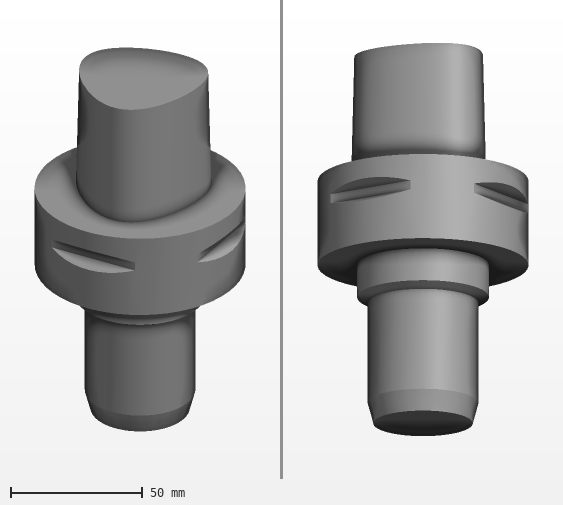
import cadquery as cq
import math

FLANGE_DIAMETER = 80.0
FLANGE_HEIGHT = 33.0

SHANK_HEIGHT = 48.0
SHANK_TAPER = 1 / 20
SHANK_BASE_DIAMETER = 51.0
LOBE_ECCENTRICITY = 2.0
CURVE_POINTS = 72

TOTAL_LENGTH = 143.0
COLLAR_DIAMETER = 50.0
COLLAR_HEIGHT = 12.5
SPIGOT_DIAMETER = 42.0
STEP_ANGLE = 30.0
TIP_HEIGHT = 8.0
TIP_ANGLE = 15.0

GROOVE_COUNT = 4
GROOVE_START_ANGLE = 45.0
GROOVE_DEPTH_BELOW_TOP = 12.0
GROOVE_FLOOR_DISTANCE = 35.6
GROOVE_FLOOR_WIDTH = 3.5
GROOVE_FLANK_ANGLE = 30.0
CUTTER_OVERLAP = 2.0


def tangent(angle):
    return math.tan(math.radians(angle))


def lobed_point(mean_radius, turn):
    """Point on the three-lobed curve; turn 0 is the flat side at -Y, and one lobe points to +Y."""
    angle = 2 * math.pi * turn + math.pi
    x = LOBE_ECCENTRICITY * math.sin(2 * angle) - mean_radius * math.sin(angle)
    y = LOBE_ECCENTRICITY * math.cos(2 * angle) + mean_radius * math.cos(angle)
    return (x, y)


def make_shank():
    base_radius = SHANK_BASE_DIAMETER / 2
    top_radius = base_radius - SHANK_HEIGHT * SHANK_TAPER / 2
    return (
        cq.Workplane("XY")
        .parametricCurve(lambda turn: lobed_point(base_radius, turn), N=CURVE_POINTS)
        .workplane(offset=SHANK_HEIGHT)
        .parametricCurve(lambda turn: lobed_point(top_radius, turn), N=CURVE_POINTS)
        .loft(ruled=True)
    )


def make_turned_body():
    flange_radius = FLANGE_DIAMETER / 2
    collar_radius = COLLAR_DIAMETER / 2
    spigot_radius = SPIGOT_DIAMETER / 2
    tip_radius = spigot_radius - TIP_HEIGHT * tangent(TIP_ANGLE)

    flange_bottom = -FLANGE_HEIGHT
    collar_bottom = flange_bottom - COLLAR_HEIGHT
    step_bottom = collar_bottom - (collar_radius - spigot_radius) * tangent(STEP_ANGLE)
    tip_bottom = SHANK_HEIGHT - TOTAL_LENGTH
    tip_top = tip_bottom + TIP_HEIGHT

    profile = [
        (0, 0),
        (flange_radius, 0),
        (flange_radius, flange_bottom),
        (collar_radius, flange_bottom),
        (collar_radius, collar_bottom),
        (spigot_radius, step_bottom),
        (spigot_radius, tip_top),
        (tip_radius, tip_bottom),
        (0, tip_bottom),
    ]
    return cq.Workplane("XZ").polyline(profile).close().revolve(360, (0, 0), (0, 1))


def make_groove_cutter():
    """Trapezoid bar along Y, cutting the rim on the +X side."""
    outer_distance = FLANGE_DIAMETER / 2 + CUTTER_OVERLAP
    floor_half = GROOVE_FLOOR_WIDTH / 2
    outer_half = floor_half + (outer_distance - GROOVE_FLOOR_DISTANCE) * tangent(GROOVE_FLANK_ANGLE)
    section = [
        (GROOVE_FLOOR_DISTANCE, -floor_half),
        (outer_distance, -outer_half),
        (outer_distance, outer_half),
        (GROOVE_FLOOR_DISTANCE, floor_half),
    ]
    bar = cq.Workplane("XZ").polyline(section).close().extrude(FLANGE_DIAMETER / 2, both=True)
    return bar.translate((0, 0, -GROOVE_DEPTH_BELOW_TOP))


def cut_grooves(body):
    cutter = make_groove_cutter()
    for index in range(GROOVE_COUNT):
        angle = GROOVE_START_ANGLE + index * 360 / GROOVE_COUNT
        body = body.cut(cutter.rotate((0, 0, 0), (0, 0, 1), angle))
    return body


result = cut_grooves(make_turned_body()).union(make_shank())